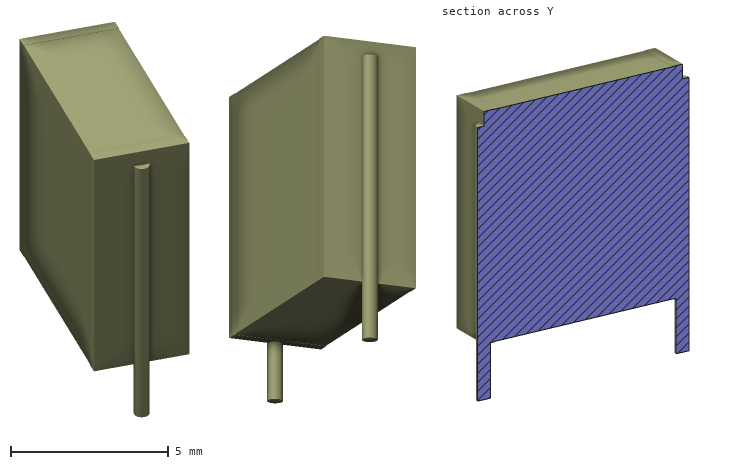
import cadquery as cq

total_height = 9.9
body_height = 8.0
depth = 3.2
overall_width = 8.0

lead_diameter = 0.5
lead_top_gap = 0.5
lead_length = total_height - lead_top_gap
lead_spacing = overall_width - lead_diameter

cap_thickness = 0.4
cap_overhang = 0.01
cap_width = lead_spacing
core_width = cap_width - 2 * cap_thickness
lead_protrusion = total_height - body_height


def make_core():
    """Rectangular block between the two end caps."""
    return (
        cq.Workplane("XY")
        .workplane(offset=cap_overhang)
        .rect(core_width, depth - 2 * cap_overhang)
        .extrude(body_height - 2 * cap_overhang)
    )


def make_end(side):
    """End cap with its lead; side is -1 for the -X end and 1 for the +X end."""
    cap = (
        cq.Workplane("XY")
        .center(side * (cap_width - cap_thickness) / 2, 0)
        .rect(cap_thickness, depth)
        .extrude(body_height)
    )
    lead = (
        cq.Workplane("XY")
        .workplane(offset=-lead_protrusion)
        .center(side * lead_spacing / 2, 0)
        .circle(lead_diameter / 2)
        .extrude(lead_length)
    )
    return cap.union(lead)


result = make_core()
for side in (-1, 1):
    result = result.union(make_end(side))